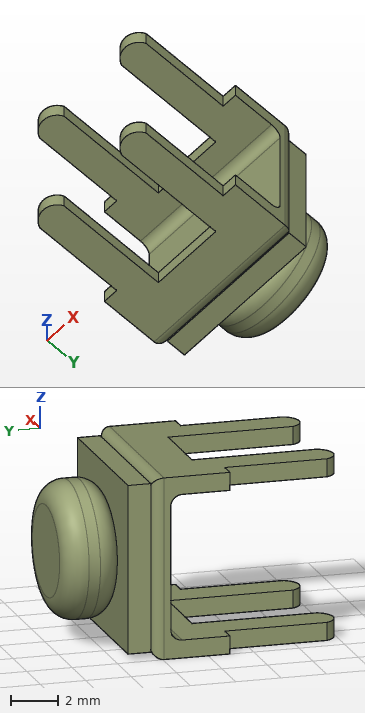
import cadquery as cq

width = 8.0
height = 8.0
sheet = 0.8
bend_radius = 0.5
flange_depth = 3.4
notch_depth = 2.4

leg_width = 1.5
leg_spacing = 5.0
tip_rise = 0.5

plate_side = 7.43
plate_thickness = 1.0
head_diameter = 6.0
head_thickness = 2.5
head_edge_radius = 1.0

total_depth = 11.9
web_back = total_depth - plate_thickness - head_thickness
flange_front = web_back - flange_depth
notch_back = web_back - notch_depth
plate_back = web_back + plate_thickness


def make_channel():
    """Bent sheet with both flanges reaching the leg tips, rounded at the bends and web ends."""
    outer = cq.Workplane("XY").box(width, web_back, height, centered=(True, False, True))
    outer = outer.faces(">Y").edges().fillet(bend_radius)
    cavity = (
        cq.Workplane("XY")
        .box(width, web_back - sheet, height - 2 * sheet, centered=(True, False, True))
        .faces(">Y")
        .edges("|X")
        .fillet(bend_radius)
    )
    return outer.cut(cavity)


def make_flange_outline():
    """Plan shape of the flanges and legs, extruded over the full height."""
    inner_x = (leg_spacing - leg_width) / 2
    outer_x = (leg_spacing + leg_width) / 2
    mid_x = leg_spacing / 2
    return (
        cq.Workplane("XY", origin=(0, 0, -height / 2))
        .moveTo(-width / 2, web_back)
        .lineTo(-width / 2, flange_front)
        .lineTo(-outer_x, flange_front)
        .lineTo(-outer_x, tip_rise)
        .threePointArc((-mid_x, 0), (-inner_x, tip_rise))
        .lineTo(-inner_x, notch_back)
        .lineTo(inner_x, notch_back)
        .lineTo(inner_x, tip_rise)
        .threePointArc((mid_x, 0), (outer_x, tip_rise))
        .lineTo(outer_x, flange_front)
        .lineTo(width / 2, flange_front)
        .lineTo(width / 2, web_back)
        .close()
        .extrude(height)
    )


def make_plate():
    """Square plate lying on the back of the web."""
    return (
        cq.Workplane("XY", origin=(0, web_back, 0))
        .box(plate_side, plate_thickness, plate_side, centered=(True, False, True))
    )


def make_head():
    """Round head with both rims rounded."""
    return (
        cq.Workplane("XZ", origin=(0, plate_back, 0))
        .circle(head_diameter / 2)
        .extrude(-head_thickness)
        .edges()
        .fillet(head_edge_radius)
    )


bracket = make_channel().intersect(make_flange_outline())
result = bracket.union(make_plate()).union(make_head())